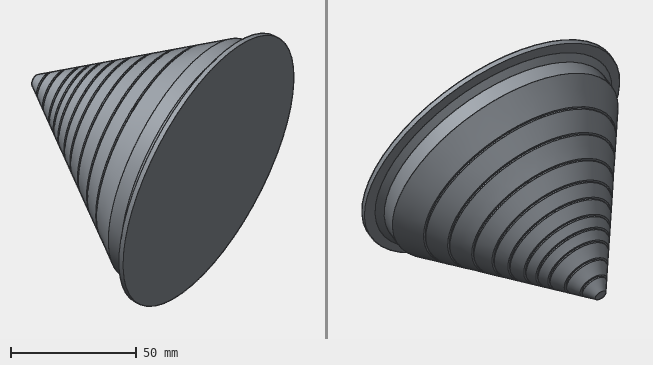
import cadquery as cq
import math

total_length = 84.1
tip_radius = 2.5
body_radius = 53.0
cone_half_angle = 35.0

flange_radius = 60.0
flange_thickness = 2.0

lip_height = 2.6
lip_gap = 1.1
lip_back_lean = 0.2

groove_middle_radii = [6.0, 10.0, 14.0, 17.0, 20.0, 24.0, 28.0, 33.0, 39.0, 45.0]
groove_depth = 0.5

cone_angle = math.radians(cone_half_angle)
cone_slope = math.tan(cone_angle)
cone_length = (body_radius - tip_radius) / cone_slope
flange_front = total_length - flange_thickness
lip_back = flange_front - lip_gap
lip_front = lip_back - lip_height


def groove_points(middle_radius):
    """Front edge, bottom and rear edge of a V groove in the cone surface."""
    middle_x = (middle_radius - tip_radius) / cone_slope
    along_x = groove_depth * math.cos(cone_angle)
    along_radius = groove_depth * math.sin(cone_angle)
    return [
        (middle_x - along_x, middle_radius - along_radius),
        (middle_x + along_radius, middle_radius - along_x),
        (middle_x + along_x, middle_radius + along_radius),
    ]


profile = [
    (0, 0),
    (0, tip_radius),
]
for radius in groove_middle_radii:
    profile += groove_points(radius)
profile += [
    (cone_length, body_radius),
    (lip_front, body_radius),
    (lip_back, body_radius + lip_height),
    (lip_back + lip_back_lean, body_radius),
    (flange_front, body_radius),
    (flange_front, flange_radius),
    (total_length, flange_radius),
    (total_length, 0),
]

result = cq.Workplane("XZ").polyline(profile).close().revolve(360, (0, 0, 0), (1, 0, 0))